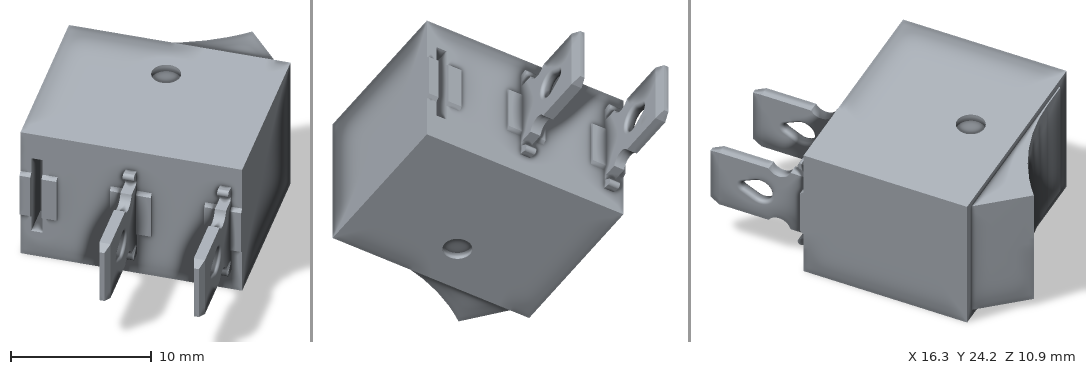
import cadquery as cq
import math


TOTAL_LENGTH = 24.15
HOUSING_WIDTH = 16.32
HOUSING_HEIGHT = 10.86
TERMINAL_REACH = 7.82
ROCKER_RISE = 3.45
HOUSING_LENGTH = TOTAL_LENGTH - TERMINAL_REACH - ROCKER_RISE

TERMINAL_PITCH = 6.95
STATIONS = [-TERMINAL_PITCH, 0.0, TERMINAL_PITCH]
FILLED_STATIONS = STATIONS[1:]
SLOT_HEIGHT = 6.52
SLOT_DEPTH = 2.41
PAD_WIDTH = 3.02
PAD_RISE = 0.3
PAD_BASE_HEIGHT = 3.9
PAD_TOP_HEIGHT = 3.48

BLADE_THICKNESS = 0.82
ROOT_HEIGHT = 5.29
BLADE_HEIGHT = 4.83
TIP_LENGTH = 0.8
TIP_HEIGHT = 4.3
TIP_THICKNESS = 0.36
NECK_RADIUS = 0.95
NECK_DISTANCE = 2.32
NECK_HEIGHT = 3.9

WING_ROOT_HALF_HEIGHT = 3.7
HOOK_RADIUS = 0.27
HOOK_CENTER = (0.58, 3.55)
HOOK_NOTCH_RADIUS = 0.22
HOOK_NOTCH_CENTER = (0.36, ROOT_HEIGHT / 2 + HOOK_NOTCH_RADIUS)

EYE_RADIUS = 0.9
EYE_DISTANCE = 3.81
EYE_END_RADIUS = 0.36
EYE_END_DISTANCE = 5.02
EYE_ROUNDING = 0.27

ROCKER_HEIGHT = 9.73
ROCKER_LEFT = -6.95
ROCKER_RIGHT = 7.36
ROCKER_DEPTH = 4.83
ROCKER_LOW_EDGE_RISE = 0.1
ROCKER_DISH_RADIUS = 14.48
ROCKER_PEAK_X = 4.4
ROCKER_CROWN = 0.1
PIVOT_DIAMETER = 2.12
PIVOT_DISTANCE = 3.62


def point_on_circle(center, radius, angle):
    """Point at an angle in radians from the first axis."""
    return (center[0] + radius * math.cos(angle), center[1] + radius * math.sin(angle))


def rocker_section(z, crown):
    """Rocker outline at a height z. The crown lifts the middle of the dish and of the short flank."""
    base = HOUSING_LENGTH - ROCKER_DEPTH
    low_edge = HOUSING_LENGTH + ROCKER_LOW_EDGE_RISE
    peak = HOUSING_LENGTH + ROCKER_RISE

    dish_sweep = math.acos(1 - (peak - low_edge) / ROCKER_DISH_RADIUS)
    dish_start_x = ROCKER_PEAK_X - ROCKER_DISH_RADIUS * math.sin(dish_sweep)
    dish_center = (dish_start_x, low_edge + ROCKER_DISH_RADIUS)
    dish_middle = point_on_circle(dish_center, ROCKER_DISH_RADIUS - crown, (dish_sweep - math.pi) / 2)

    flank_run = ROCKER_RIGHT - ROCKER_PEAK_X
    flank_middle = ((ROCKER_PEAK_X + ROCKER_RIGHT) / 2, HOUSING_LENGTH + ROCKER_RISE / 2)
    flank_bulge = point_on_circle(flank_middle, crown, math.atan2(flank_run, ROCKER_RISE))

    outline = (
        cq.Workplane("XY", origin=(0, 0, z))
        .moveTo(ROCKER_LEFT, base)
        .lineTo(ROCKER_LEFT, low_edge)
        .lineTo(dish_start_x, low_edge)
        .threePointArc(dish_middle, (ROCKER_PEAK_X, peak))
    )
    if crown > 0:
        outline = outline.threePointArc(flank_bulge, (ROCKER_RIGHT, HOUSING_LENGTH))
    else:
        outline = outline.lineTo(ROCKER_RIGHT, HOUSING_LENGTH)
    return outline.lineTo(ROCKER_RIGHT, base).close().wire().val()


def make_rocker():
    """Block in the pocket, with a dished top that rises to a ridge and is crowned across the rocker."""
    sections = [
        rocker_section(-ROCKER_HEIGHT / 2, 0),
        rocker_section(0, ROCKER_CROWN),
        rocker_section(ROCKER_HEIGHT / 2, 0),
    ]
    return cq.Workplane(cq.Solid.makeLoft(sections))


def make_pad(station):
    """Low pad around a terminal slot, with sloped upper and lower ends, cut off at the housing's sides."""
    left = max(station - PAD_WIDTH / 2, -HOUSING_WIDTH / 2)
    right = min(station + PAD_WIDTH / 2, HOUSING_WIDTH / 2)
    return (
        cq.Workplane("YZ", origin=(left, 0, 0))
        .polyline([
            (0, -PAD_BASE_HEIGHT / 2),
            (-PAD_RISE, -PAD_TOP_HEIGHT / 2),
            (-PAD_RISE, PAD_TOP_HEIGHT / 2),
            (0, PAD_BASE_HEIGHT / 2),
        ])
        .close()
        .extrude(right - left)
    )


def make_housing():
    housing = cq.Workplane("XY").box(
        HOUSING_WIDTH, HOUSING_LENGTH, HOUSING_HEIGHT, centered=(True, False, True)
    )

    slot_length = SLOT_DEPTH + PAD_RISE
    for station in STATIONS:
        slot = (
            cq.Workplane("XY", origin=(station, -PAD_RISE, 0))
            .box(BLADE_THICKNESS, slot_length, SLOT_HEIGHT, centered=(True, False, True))
        )
        housing = housing.union(make_pad(station)).cut(slot)

    pocket = (
        cq.Workplane("XY", origin=(ROCKER_LEFT, HOUSING_LENGTH - ROCKER_DEPTH, 0))
        .box(ROCKER_RIGHT - ROCKER_LEFT, ROCKER_DEPTH, ROCKER_HEIGHT, centered=(False, False, True))
    )

    pivot = (
        cq.Workplane("XY")
        .center(0, HOUSING_LENGTH - PIVOT_DISTANCE)
        .circle(PIVOT_DIAMETER / 2)
        .extrude(HOUSING_HEIGHT / 2, both=True)
    )
    return housing.cut(pocket).cut(pivot)


def terminal_plane():
    """Middle plane of the terminal: first axis outwards from the housing, second axis along Z."""
    return cq.Workplane(cq.Plane(origin=(0, 0, 0), xDir=(0, -1, 0), normal=(-1, 0, 0)))


def make_wing():
    """Upper wing: a rounded hook, and the round notch between the hook and the blade."""
    run = HOOK_CENTER[0] - HOOK_NOTCH_CENTER[0]
    rise = HOOK_CENTER[1] - HOOK_NOTCH_CENTER[1]
    tangent_lean = math.asin((HOOK_RADIUS + HOOK_NOTCH_RADIUS) / math.hypot(run, rise))
    flank_angle = math.atan2(rise, run) - tangent_lean
    hook_flank = point_on_circle(HOOK_CENTER, HOOK_RADIUS, flank_angle - math.pi / 2)
    notch_flank = point_on_circle(HOOK_NOTCH_CENTER, HOOK_NOTCH_RADIUS, flank_angle + math.pi / 2)

    hook_top = point_on_circle(HOOK_CENTER, HOOK_RADIUS, math.pi / 2)
    hook_tip = point_on_circle(HOOK_CENTER, HOOK_RADIUS, 0)
    notch_inner = point_on_circle(HOOK_NOTCH_CENTER, HOOK_NOTCH_RADIUS, math.pi)
    notch_bottom = point_on_circle(HOOK_NOTCH_CENTER, HOOK_NOTCH_RADIUS, -math.pi / 2)
    return (
        terminal_plane()
        .moveTo(0, 0)
        .lineTo(0, WING_ROOT_HALF_HEIGHT)
        .lineTo(*hook_top)
        .threePointArc(hook_tip, hook_flank)
        .lineTo(*notch_flank)
        .threePointArc(notch_inner, notch_bottom)
        .lineTo(notch_bottom[0], 0)
        .close()
        .extrude(BLADE_THICKNESS / 2, both=True)
    )


def make_eye():
    """Teardrop prism: a large and a small circle joined by their outer tangents."""
    tangent_angle = math.acos((EYE_RADIUS - EYE_END_RADIUS) / (EYE_END_DISTANCE - EYE_DISTANCE))
    center = (EYE_DISTANCE, 0)
    end_center = (EYE_END_DISTANCE, 0)
    return (
        terminal_plane()
        .moveTo(*point_on_circle(center, EYE_RADIUS, tangent_angle))
        .threePointArc(
            point_on_circle(center, EYE_RADIUS, math.pi),
            point_on_circle(center, EYE_RADIUS, -tangent_angle),
        )
        .lineTo(*point_on_circle(end_center, EYE_END_RADIUS, -tangent_angle))
        .threePointArc(
            point_on_circle(end_center, EYE_END_RADIUS, 0),
            point_on_circle(end_center, EYE_END_RADIUS, tangent_angle),
        )
        .close()
        .extrude(BLADE_THICKNESS / 2, both=True)
    )


def make_blade():
    """Flat blade with a wider root and a necked waist, before its tip."""
    shoulder = TERMINAL_REACH - TIP_LENGTH
    root = (
        terminal_plane()
        .center(NECK_DISTANCE / 2, 0)
        .rect(NECK_DISTANCE, ROOT_HEIGHT)
        .extrude(BLADE_THICKNESS / 2, both=True)
    )
    tab = (
        terminal_plane()
        .center(shoulder / 2, 0)
        .rect(shoulder, BLADE_HEIGHT)
        .extrude(BLADE_THICKNESS / 2, both=True)
    )
    necks = (
        terminal_plane()
        .pushPoints([(NECK_DISTANCE, side * (NECK_HEIGHT / 2 + NECK_RADIUS)) for side in (-1, 1)])
        .circle(NECK_RADIUS)
        .extrude(BLADE_THICKNESS / 2, both=True)
    )
    return root.union(tab).cut(necks)


def make_tip():
    """Wedge that narrows the blade's end on all four sides."""
    return (
        cq.Workplane("XZ", origin=(0, TIP_LENGTH - TERMINAL_REACH, 0))
        .rect(BLADE_THICKNESS, BLADE_HEIGHT)
        .workplane(offset=TIP_LENGTH)
        .rect(TIP_THICKNESS, TIP_HEIGHT)
        .loft()
    )


def make_terminal():
    """Terminal at X = 0, with its shank filling a housing slot."""
    shank = cq.Workplane("XY").box(BLADE_THICKNESS, SLOT_DEPTH, SLOT_HEIGHT, centered=(True, False, True))
    wing = make_wing()
    terminal = shank.union(make_blade()).union(make_tip())
    terminal = terminal.union(wing).union(wing.mirror("XY"))
    terminal = terminal.cut(make_eye())

    eye_half_height = EYE_RADIUS + EYE_ROUNDING
    eye_far_end = EYE_END_DISTANCE + EYE_END_RADIUS + EYE_ROUNDING
    eye_near_end = EYE_DISTANCE - EYE_RADIUS - EYE_ROUNDING
    eye_zone = cq.selectors.BoxSelector(
        (-BLADE_THICKNESS, -eye_far_end, -eye_half_height),
        (BLADE_THICKNESS, -eye_near_end, eye_half_height),
        boundingbox=True,
    )
    return terminal.edges(eye_zone).edges("not |X").fillet(EYE_ROUNDING)


housing = make_housing()
rocker = make_rocker()
terminal = make_terminal()
terminals = [terminal.translate((station, 0, 0)) for station in FILLED_STATIONS]

result = cq.Compound.makeCompound(
    [housing.val(), rocker.val(), *[placed.val() for placed in terminals]]
)